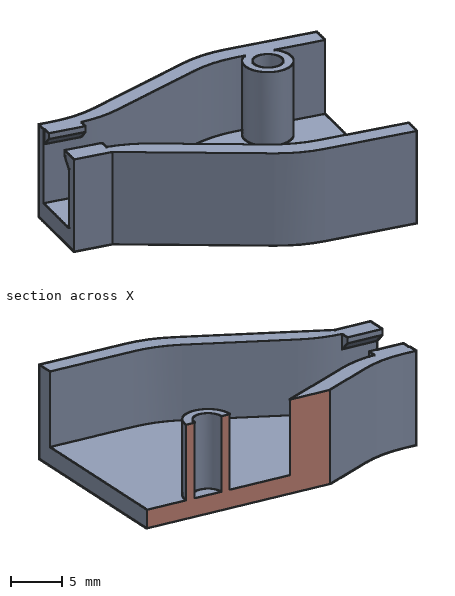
import cadquery as cq
import math

length = 33.0
height = 10.0
wide_width = 24.0
wall = 2.0
floor_thickness = 2.0
neck_width = 8.5
channel_width = 6.0

bend_radius = 11.65
taper_angle = math.radians(25)
outer_neck_end = 1.5
inner_neck_end = 3.4

boss_radius = 2.5
boss_hole_diameter = 3.0
boss_x = -8.02
boss_y = 26.05

lip_length = 4.0
lip_overhang = 1.0
lip_edge = 0.63
left_lip_setback = 0.1

bend_run = bend_radius * math.sin(taper_angle)
bend_shift = bend_radius * (1 - math.cos(taper_angle))
half_bend_run = bend_radius * math.sin(taper_angle / 2)
half_bend_shift = bend_radius * (1 - math.cos(taper_angle / 2))


def flank_points(half_wide, half_narrow, neck_end):
    """Points of a right-hand flank from its narrow end to its wide end."""
    taper_shift = half_wide - half_narrow - 2 * bend_shift
    taper_start = neck_end + bend_run
    taper_end = taper_start + taper_shift / math.tan(taper_angle)
    wide_start = taper_end + bend_run
    return [
        (half_narrow, neck_end),
        (half_narrow + half_bend_shift, neck_end + half_bend_run),
        (half_narrow + bend_shift, taper_start),
        (half_wide - bend_shift, taper_end),
        (half_wide - half_bend_shift, wide_start - half_bend_run),
        (half_wide, wide_start),
    ]


def mirrored(points):
    """The matching left-hand flank, from its wide end to its narrow end."""
    return [(-x, y) for x, y in reversed(points)]


def add_left_flank(outline, flank):
    """Continue an outline forward along the left side to its narrow end."""
    wide_start, wide_mid, taper_end, taper_start, neck_mid, neck_end = mirrored(flank)
    return (
        outline.lineTo(*wide_start)
        .threePointArc(wide_mid, taper_end)
        .lineTo(*taper_start)
        .threePointArc(neck_mid, neck_end)
    )


def make_body():
    half_wide = wide_width / 2
    half_neck = neck_width / 2
    flank = flank_points(half_wide, half_neck, outer_neck_end)
    _, _, taper_start, taper_end, wide_mid, wide_start = flank
    corner_y = taper_start[1] - bend_shift / math.tan(taper_angle)
    outline = (
        cq.Workplane("XY")
        .moveTo(-half_neck, 0)
        .lineTo(half_neck, 0)
        .lineTo(half_neck, corner_y)
        .lineTo(*taper_end)
        .threePointArc(wide_mid, wide_start)
        .lineTo(half_wide, length)
        .lineTo(-half_wide, length)
    )
    return add_left_flank(outline, flank).close().extrude(height)


def make_cavity():
    half_wide = wide_width / 2 - wall
    half_channel = channel_width / 2
    flank = flank_points(half_wide, half_channel, inner_neck_end)
    neck_end, neck_mid, taper_start, taper_end, wide_mid, wide_start = flank
    outline = (
        cq.Workplane("XY")
        .workplane(offset=floor_thickness)
        .moveTo(-half_channel, 0)
        .lineTo(half_channel, 0)
        .lineTo(*neck_end)
        .threePointArc(neck_mid, taper_start)
        .lineTo(*taper_end)
        .threePointArc(wide_mid, wide_start)
        .lineTo(half_wide, length)
        .lineTo(-half_wide, length)
    )
    return add_left_flank(outline, flank).close().extrude(height - floor_thickness)


def make_lip(side, setback):
    """Snap lip along the top of one channel wall, with a 45 degree underside."""
    channel_side = channel_width / 2
    wall_centre = (channel_side + neck_width / 2) / 2
    tip = channel_side - lip_overhang
    root_z = height - lip_edge - lip_overhang
    profile = [
        (side * wall_centre, height),
        (side * tip, height),
        (side * tip, height - lip_edge),
        (side * channel_side, root_z),
        (side * wall_centre, root_z),
    ]
    return (
        cq.Workplane("XZ", origin=(0, setback, 0))
        .polyline(profile)
        .close()
        .extrude(setback - lip_length)
    )


def make_boss():
    """Hollow post standing on the floor, its top level with the walls."""
    return (
        cq.Workplane("XY", origin=(boss_x, boss_y, floor_thickness))
        .circle(boss_radius)
        .circle(boss_hole_diameter / 2)
        .extrude(height - floor_thickness)
    )


result = (
    make_body()
    .cut(make_cavity())
    .union(make_lip(-1, left_lip_setback))
    .union(make_lip(1, 0))
    .union(make_boss())
)